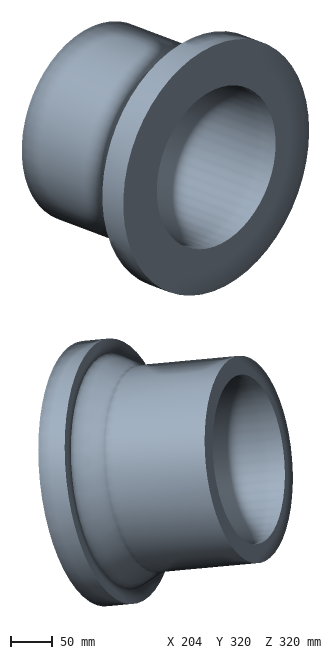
import cadquery as cq

total_length = 204.0
flange_thickness = 35.0
neck_length = 37.0

flange_diameter = 320.0
neck_diameter = 285.0
pipe_diameter = 250.0
bore_diameter = 204.6

flange_start = total_length - flange_thickness
neck_start = flange_start - neck_length

bore_radius = bore_diameter / 2
pipe_radius = pipe_diameter / 2
neck_radius = neck_diameter / 2
flange_radius = flange_diameter / 2

half_section = (
    cq.Workplane("XY")
    .moveTo(0, bore_radius)
    .lineTo(0, pipe_radius)
    .lineTo(neck_start, pipe_radius)
    .lineTo(flange_start, neck_radius)
    .lineTo(flange_start, flange_radius)
    .lineTo(total_length, flange_radius)
    .lineTo(total_length, bore_radius)
    .close()
)

result = half_section.revolve(360, (0, 0, 0), (1, 0, 0))